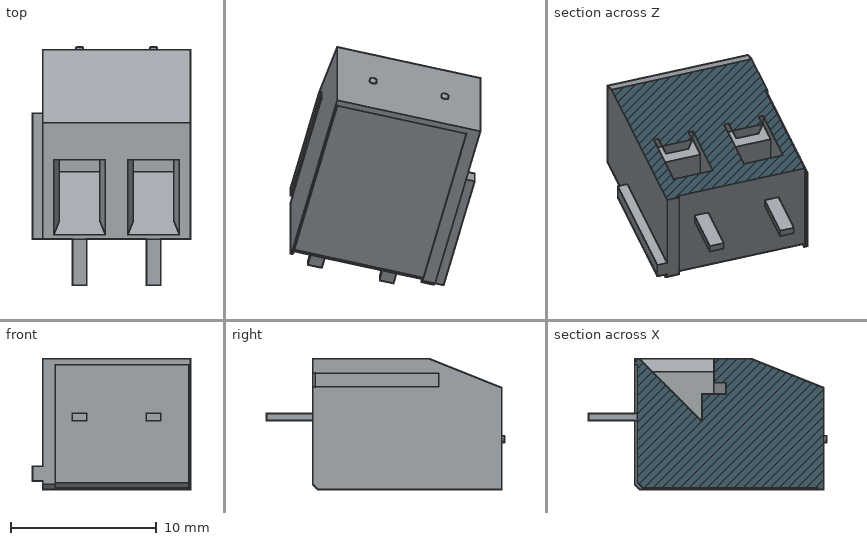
import cadquery as cq

PITCH = 5.08
POLES = 2
BODY_WIDTH = POLES * PITCH
BODY_DEPTH = 13.0
BODY_HEIGHT = 9.0
HALF_WIDTH = BODY_WIDTH / 2
SLOPE_DEPTH = 5.0
SLOPE_DROP = 2.0
FOOT_CHAMFER = 0.36

RECESS_DEPTH = 0.17
RECESS_LEFT_WALL = 0.88
RECESS_RIGHT_WALL = 0.127
RECESS_TOP_WALL = 0.43
RECESS_UNDERSIDE_DEPTH = 0.13
RECESS_REAR_WALL = RECESS_TOP_WALL

RAIL_WIDTH = 0.7
RAIL_LENGTH = 8.65
RAIL_BOTTOM = 0.58
RAIL_TOP = 1.62
GROOVE_BOTTOM = 7.05
GROOVE_TOP = 8.0
GROOVE_DEPTH = RECESS_RIGHT_WALL

POCKET_WIDTH = 3.52
POCKET_FRONT = 0.31
POCKET_BACK = 5.44
FUNNEL_INSET = 0.36
FUNNEL_DEPTH = 0.91
LEDGE_FRONT = 4.62
LEDGE_TOP = 6.58
SIDE_SLOT_DEPTH = POCKET_BACK - LEDGE_FRONT

PIN_WIDTH = 1.0
PIN_THICKNESS = 0.5
PIN_CENTRE_Z = 4.99
STUD_DIAMETER = 0.51
STUD_HEIGHT = 0.19
STUD_ROUNDING = 0.1
STUD_CENTRE_Z = 3.46
OVERALL_DEPTH = 16.37
PIN_LENGTH = OVERALL_DEPTH - BODY_DEPTH - STUD_HEIGHT

POLE_CENTRES = [(i - (POLES - 1) / 2) * PITCH for i in range(POLES)]


def box(x_range, y_range, z_range):
    """Axis-aligned box between the given limits."""
    (x0, x1), (y0, y1), (z0, z1) = x_range, y_range, z_range
    return cq.Workplane("XY").box(x1 - x0, y1 - y0, z1 - z0, centered=False).translate((x0, y0, z0))


def side_prism(points, x0, x1):
    """Closed (y, z) outline extruded along X from x0 to x1."""
    return cq.Workplane("YZ").polyline(points).close().extrude(x1 - x0).translate((x0, 0, 0))


def make_body():
    """Housing block with the sloped rear top and the chamfered front foot."""
    outline = [
        (FOOT_CHAMFER, 0),
        (BODY_DEPTH, 0),
        (BODY_DEPTH, BODY_HEIGHT - SLOPE_DROP),
        (BODY_DEPTH - SLOPE_DEPTH, BODY_HEIGHT),
        (0, BODY_HEIGHT),
        (0, FOOT_CHAMFER),
    ]
    return side_prism(outline, -HALF_WIDTH, HALF_WIDTH)


def make_recess():
    """Cutter for the pin face and underside; its foot runs parallel to the body's foot chamfer."""
    outline = [
        (0, 0),
        (BODY_DEPTH - RECESS_REAR_WALL, 0),
        (BODY_DEPTH - RECESS_REAR_WALL, RECESS_UNDERSIDE_DEPTH),
        (RECESS_DEPTH + FOOT_CHAMFER, RECESS_UNDERSIDE_DEPTH),
        (RECESS_DEPTH, RECESS_UNDERSIDE_DEPTH + FOOT_CHAMFER),
        (RECESS_DEPTH, BODY_HEIGHT - RECESS_TOP_WALL),
        (0, BODY_HEIGHT - RECESS_TOP_WALL),
    ]
    return side_prism(outline, -HALF_WIDTH + RECESS_LEFT_WALL, HALF_WIDTH - RECESS_RIGHT_WALL)


def make_rail():
    """Rail standing off the -X side."""
    return box((-HALF_WIDTH - RAIL_WIDTH, -HALF_WIDTH), (0, RAIL_LENGTH), (RAIL_BOTTOM, RAIL_TOP))


def make_groove():
    """Cutter for the groove in the +X side."""
    return box((HALF_WIDTH - GROOVE_DEPTH, HALF_WIDTH), (0, RAIL_LENGTH), (GROOVE_BOTTOM, GROOVE_TOP))


def make_pocket(centre_x):
    """Cutter for a wire entry: funnel sides, a 45 degree front ramp and a ledge at the back."""
    half_top = POCKET_WIDTH / 2
    half_throat = half_top - FUNNEL_INSET
    ramp_bottom = BODY_HEIGHT - (LEDGE_FRONT - POCKET_FRONT)
    funnel_bottom = BODY_HEIGHT - FUNNEL_DEPTH
    section = [
        (-half_top, BODY_HEIGHT),
        (-half_throat, funnel_bottom),
        (-half_throat, ramp_bottom),
        (half_throat, ramp_bottom),
        (half_throat, funnel_bottom),
        (half_top, BODY_HEIGHT),
    ]
    profile = [
        (POCKET_FRONT, BODY_HEIGHT),
        (LEDGE_FRONT, ramp_bottom),
        (LEDGE_FRONT, LEDGE_TOP),
        (POCKET_BACK, LEDGE_TOP),
        (POCKET_BACK, BODY_HEIGHT),
    ]
    channel = cq.Workplane("XZ").polyline(section).close().extrude(-POCKET_BACK)
    return channel.intersect(side_prism(profile, -half_top, half_top)).translate((centre_x, 0, 0))


def make_side_slots(centre_x):
    """Cutter for the slots behind a pocket, either side of a tongue that continues the funnel taper."""
    half_throat = POCKET_WIDTH / 2 - FUNNEL_INSET
    funnel_bottom = BODY_HEIGHT - FUNNEL_DEPTH
    taper = FUNNEL_INSET / FUNNEL_DEPTH
    half_tongue = half_throat - taper * (funnel_bottom - LEDGE_TOP)
    triangle = [
        (half_throat, funnel_bottom),
        (half_throat, LEDGE_TOP),
        (half_tongue, LEDGE_TOP),
    ]
    slot = cq.Workplane("XZ").polyline(triangle).close().extrude(-SIDE_SLOT_DEPTH)
    slots = slot.union(slot.mirror("YZ"))
    return slots.translate((centre_x, POCKET_BACK, 0))


def make_pin(centre_x):
    """Flat solder pin standing out of the recessed face."""
    x_range = (centre_x - PIN_WIDTH / 2, centre_x + PIN_WIDTH / 2)
    z_range = (PIN_CENTRE_Z - PIN_THICKNESS / 2, PIN_CENTRE_Z + PIN_THICKNESS / 2)
    return box(x_range, (-PIN_LENGTH, RECESS_DEPTH), z_range)


def make_stud(centre_x):
    """Small round stud with a rounded tip on the back face."""
    stud = cq.Workplane("XZ").circle(STUD_DIAMETER / 2).extrude(-STUD_HEIGHT)
    stud = stud.faces(">Y").edges().fillet(STUD_ROUNDING)
    return stud.translate((centre_x, BODY_DEPTH, STUD_CENTRE_Z))


result = make_body().cut(make_recess()).cut(make_groove()).union(make_rail())
for centre in POLE_CENTRES:
    result = result.cut(make_pocket(centre)).cut(make_side_slots(centre))
    result = result.union(make_pin(centre)).union(make_stud(centre))